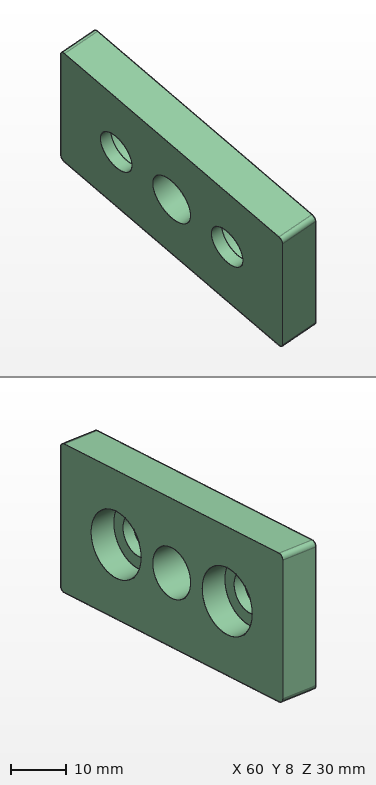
import cadquery as cq

length = 60.0
thickness = 8.0
height = 30.0
corner_radius = 1.0

center_hole_diameter = 10.2
side_hole_diameter = 8.5
side_hole_spacing = length / 2

recess_diameter = 13.5
side_hole_depth = 2.5
recess_depth = thickness - side_hole_depth


def cylinder_along_y(x, diameter, start_y, depth):
    """Cylinder at mid height that runs from start_y toward +Y."""
    base = cq.Plane(origin=(x, start_y, 0), xDir=(1, 0, 0), normal=(0, 1, 0))
    return cq.Workplane(base).circle(diameter / 2).extrude(depth)


front_y = -thickness / 2

plate = cq.Workplane("XY").box(length, thickness, height)
plate = plate.edges("|Y").fillet(corner_radius)

plate = plate.cut(cylinder_along_y(0, center_hole_diameter, front_y, thickness))

for x in (-side_hole_spacing / 2, side_hole_spacing / 2):
    plate = plate.cut(cylinder_along_y(x, side_hole_diameter, front_y, thickness))
    plate = plate.cut(cylinder_along_y(x, recess_diameter, front_y + side_hole_depth, recess_depth))

result = plate